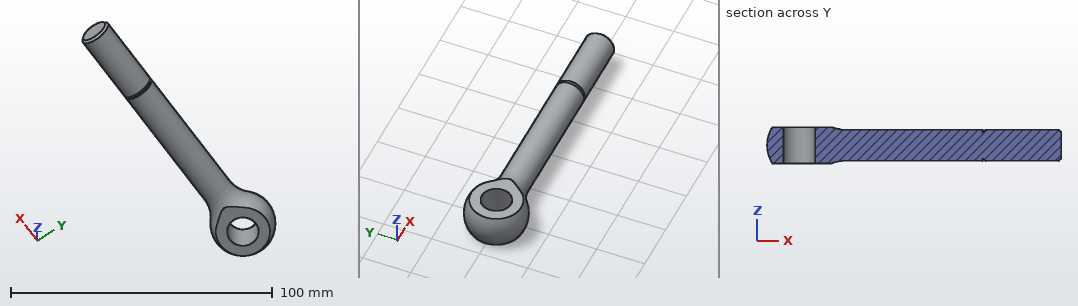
import cadquery as cq
import math

total_length = 112.5
ball_radius = 12.5
eye_width = 14.0
shank_diameter = 12.0
hole_diameter = 12.0
neck_fillet_radius = 14.4
groove_start = 70.0
groove_width = 1.1
groove_depth = 0.9
end_chamfer = 0.9

shank_radius = shank_diameter / 2
shank_end = total_length - ball_radius

fillet_center_r = shank_radius + neck_fillet_radius
center_distance = ball_radius + neck_fillet_radius
neck_end = math.sqrt(center_distance**2 - fillet_center_r**2)
ball_tangent_x = neck_end * ball_radius / center_distance
ball_tangent_r = fillet_center_r * ball_radius / center_distance
neck_mid_angle = (math.atan2(-fillet_center_r, -neck_end) - math.pi / 2) / 2
neck_mid = (
    neck_end + neck_fillet_radius * math.cos(neck_mid_angle),
    fillet_center_r + neck_fillet_radius * math.sin(neck_mid_angle),
)


def make_body():
    """Ball, neck and shank revolved about the X axis."""
    profile = (
        cq.Workplane("XY")
        .moveTo(-ball_radius, 0)
        .threePointArc((0, ball_radius), (ball_tangent_x, ball_tangent_r))
        .threePointArc(neck_mid, (neck_end, shank_radius))
        .lineTo(shank_end - end_chamfer, shank_radius)
        .lineTo(shank_end, shank_radius - end_chamfer)
        .lineTo(shank_end, 0)
        .close()
    )
    return profile.revolve(360, (0, 0, 0), (1, 0, 0))


def make_flat_envelope():
    """Slab whose top and bottom faces flatten the ball."""
    return cq.Workplane("XY").box(3 * total_length, 3 * ball_radius, eye_width)


def make_groove():
    """Square shoulder toward the eye, then a cone rising back to full diameter."""
    return (
        cq.Workplane("XY")
        .moveTo(groove_start, shank_radius)
        .lineTo(groove_start, shank_radius - groove_depth)
        .lineTo(groove_start + groove_width, shank_radius)
        .close()
        .revolve(360, (0, 0, 0), (1, 0, 0))
    )


def make_eye_hole():
    """Through hole along Z at the centre of the ball."""
    return cq.Workplane("XY").cylinder(2 * eye_width, hole_diameter / 2)


result = make_body().intersect(make_flat_envelope()).cut(make_groove()).cut(make_eye_hole())